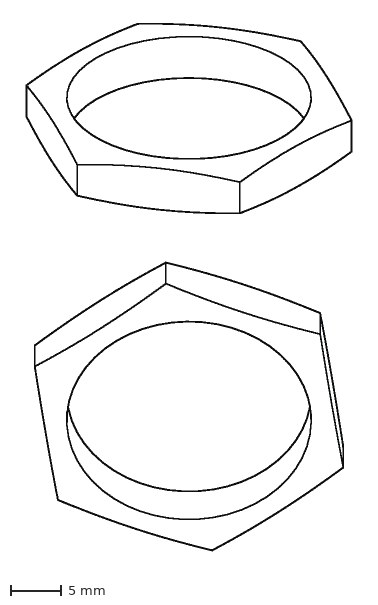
import cadquery as cq
import math

across_corners = 33.0
thickness = 4.75
bore_diameter = 24.22
chamfer_angle = 15.0

corner_radius = across_corners / 2
flat_radius = corner_radius * math.cos(math.radians(30))
half_thickness = thickness / 2
corner_drop = (corner_radius - flat_radius) * math.tan(math.radians(chamfer_angle))


def hexagonal_ring():
    """Hexagonal prism with corners on the X axis and a plain through bore."""
    return (
        cq.Workplane("XY")
        .polygon(6, across_corners)
        .circle(bore_diameter / 2)
        .extrude(half_thickness, both=True)
    )


def chamfer_envelope():
    """Turned disc whose conical rims touch the flats and trim both sets of corners."""
    rim_height = half_thickness - corner_drop
    return (
        cq.Workplane("XZ")
        .moveTo(0, -half_thickness)
        .lineTo(flat_radius, -half_thickness)
        .lineTo(corner_radius, -rim_height)
        .lineTo(corner_radius, rim_height)
        .lineTo(flat_radius, half_thickness)
        .lineTo(0, half_thickness)
        .close()
        .revolve(360, (0, 0, 0), (0, 1, 0))
    )


result = hexagonal_ring().intersect(chamfer_envelope())